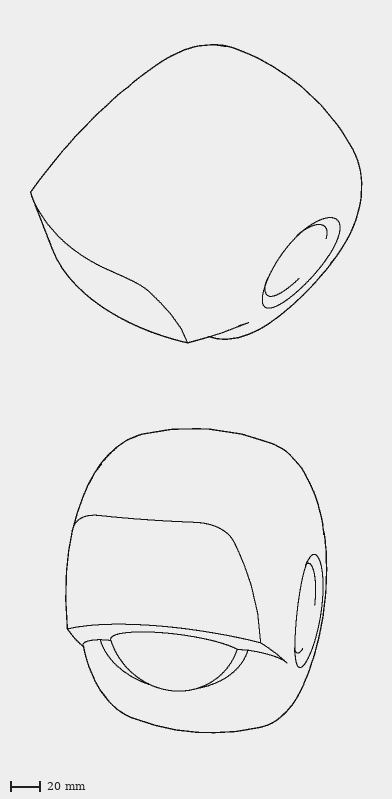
import cadquery as cq
import math

HALF_WIDTH = 76.2

CHIN_CENTER = (-0.2, -3.2)
ARC_RADII = (86.3, 126.0, 91.7, 218.5)
ARC_BREAKS = (-13.4, 50.3, 80.6)
PROFILE_FRONT = -165.0
CROWN_RADIUS = 155.0
CROWN_REACH = 80.0

BROW_POINT = (-52.6, -23.5)
BROW_SLOPE = -0.5

DOME_CREST = (-19.0, 18.0)
DOME_RADIUS_LENGTHWISE = 515.0
DOME_RADIUS_UPRIGHT = 277.0
DOME_HALF_HEIGHT = 160.0
EDGE_FILLET = 31.0

VISOR_TOP = (-149.6, 95.5)
VISOR_BOTTOM = (-130.6, 15.3)
VISOR_RADIUS = 108.5

MOUTH_WALL_Y = -76.8
NOSE_CENTER = (0, -60.7, 3.6)
NOSE_RADIUS = 50.2

DIAL_DEPTH = 3.5
DIAL_FLOOR_RADII = (30.4, 33.5)
DIAL_RIM_RADII = (38.4, 43.3)
DIAL_RIM_OFFSET = (2.6, -3.6)
DIAL_WALL_DROP = 2.6

CUTTER_SIZE = 400.0
EDGE_TOLERANCE = 1.0


def polar(center, radius, angle):
    """Point at the given radius and angle (degrees) about a centre."""
    turn = math.radians(angle)
    return (center[0] + radius * math.cos(turn), center[1] + radius * math.sin(turn))


def arc_centers():
    """Centres of the profile arcs, each following the last one tangentially."""
    centers = [CHIN_CENTER]
    for radius, next_radius, angle in zip(ARC_RADII, ARC_RADII[1:], ARC_BREAKS):
        centers.append(polar(centers[-1], radius - next_radius, angle))
    return centers


def brow_height(y):
    """Height of the brow plane at the given Y."""
    return BROW_POINT[1] + BROW_SLOPE * (y - BROW_POINT[0])


def chin_end_angle(radius):
    """Angle at which the chin arc of the given radius meets the brow plane."""
    normal_length = math.hypot(1, BROW_SLOPE)
    offset = (brow_height(CHIN_CENTER[0]) - CHIN_CENTER[1]) / normal_length
    normal_angle = math.degrees(math.atan2(1, -BROW_SLOPE))
    return normal_angle - 360 + math.degrees(math.acos(offset / radius))


def crown_end_angle(center, radius):
    """Angle at which the crown arc reaches the front of the untrimmed profile."""
    return math.degrees(math.acos((PROFILE_FRONT - center[0]) / radius))


def shell_profile(x):
    """Profile wire at one X, drawn in by the tread's crown."""
    inset = CROWN_RADIUS - math.sqrt(CROWN_RADIUS**2 - x**2)
    centers = arc_centers()
    radii = [radius - inset for radius in ARC_RADII]
    first = chin_end_angle(radii[0])
    last = crown_end_angle(centers[-1], radii[-1])
    angles = [first, *ARC_BREAKS, last]
    profile = cq.Workplane("YZ", origin=(x, 0, 0)).moveTo(*polar(centers[0], radii[0], first))
    for center, radius, start, end in zip(centers, radii, angles, angles[1:]):
        middle = polar(center, radius, (start + end) / 2)
        profile = profile.threePointArc(middle, polar(center, radius, end))
    profile = profile.lineTo(PROFILE_FRONT, brow_height(PROFILE_FRONT)).close()
    return profile.val()


def flank_barrel(side, inset=0.0):
    """Doubly curved solid whose outer face is the dome of one flank (side is +1 or -1)."""
    radius = DOME_RADIUS_LENGTHWISE - inset
    upright = DOME_RADIUS_UPRIGHT - inset
    end_radius = radius - upright + math.sqrt(upright**2 - DOME_HALF_HEIGHT**2)
    axis_x = side * (HALF_WIDTH - DOME_RADIUS_LENGTHWISE)
    far_x = axis_x - side * radius
    far_end_x = axis_x - side * end_radius
    top = DOME_CREST[1] + DOME_HALF_HEIGHT
    bottom = DOME_CREST[1] - DOME_HALF_HEIGHT
    return (
        cq.Workplane("XZ", origin=(0, DOME_CREST[0], 0))
        .moveTo(axis_x, bottom)
        .lineTo(far_end_x, bottom)
        .threePointArc((far_x, DOME_CREST[1]), (far_end_x, top))
        .lineTo(axis_x, top)
        .close()
        .revolve(360, (axis_x, 0), (axis_x, 1))
    )


def mouth_cutter():
    """Everything in front of the mouth wall and below the brow plane."""
    front = MOUTH_WALL_Y - CUTTER_SIZE
    return (
        cq.Workplane("YZ", origin=(-CUTTER_SIZE / 2, 0, 0))
        .moveTo(MOUTH_WALL_Y, brow_height(MOUTH_WALL_Y))
        .lineTo(MOUTH_WALL_Y, -CUTTER_SIZE)
        .lineTo(front, -CUTTER_SIZE)
        .lineTo(front, brow_height(front))
        .close()
        .extrude(CUTTER_SIZE)
    )


def is_tread_edge(edge):
    """True for edges off the brow plane and off the untrimmed front."""
    middle = edge.positionAt(0.5)
    on_brow = abs(middle.z - brow_height(middle.y)) < EDGE_TOLERANCE
    on_front = abs(middle.y - PROFILE_FRONT) < EDGE_TOLERANCE
    return not (on_brow or on_front)


def make_shell():
    """Crowned tread trimmed by the flank domes and the mouth, with rounded tread edges."""
    stations = [CROWN_REACH * step / 2 for step in range(-2, 3)]
    shell = cq.Workplane(cq.Solid.makeLoft([shell_profile(x) for x in stations]))
    for side in (-1, 1):
        shell = shell.intersect(flank_barrel(side))
    shell = shell.cut(mouth_cutter())
    domes = [face for face in shell.faces().vals() if face.geomType() == "REVOLUTION"]
    edges = [edge for dome in domes for edge in dome.Edges() if is_tread_edge(edge)]
    return cq.Workplane(shell.val().fillet(EDGE_FILLET, edges))


def visor_cutter():
    """Everything in front of the visor's cylinder, whose axis leans with the visor."""
    axis = cq.Vector(0, VISOR_TOP[0] - VISOR_BOTTOM[0], VISOR_TOP[1] - VISOR_BOTTOM[1]).normalized()
    inward = cq.Vector(1, 0, 0).cross(axis) * -1
    middle = cq.Vector(0, VISOR_BOTTOM[0], VISOR_BOTTOM[1])
    base = middle + inward * VISOR_RADIUS - axis * (CUTTER_SIZE / 2)
    plane = cq.Plane(origin=base.toTuple(), xDir=(1, 0, 0), normal=axis.toTuple())
    front = -1 if plane.yDir.y > 0 else 1
    block = (
        cq.Workplane(plane)
        .center(0, front * CUTTER_SIZE / 2)
        .rect(CUTTER_SIZE, CUTTER_SIZE)
        .extrude(CUTTER_SIZE)
    )
    return block.cut(cq.Workplane(plane).circle(VISOR_RADIUS).extrude(CUTTER_SIZE))


def make_nose():
    """Ball set into the corner between the mouth wall and the brow plane."""
    return cq.Workplane("XY", origin=NOSE_CENTER).sphere(NOSE_RADIUS)


def dial_cutter(side):
    """Slanted elliptical cone that stops on a dome parallel to the flank."""
    slope_y = -DOME_CREST[0] / DOME_RADIUS_LENGTHWISE
    slope_z = -DOME_CREST[1] / DOME_RADIUS_UPRIGHT
    sag_y = DOME_CREST[0] ** 2 / (2 * DOME_RADIUS_LENGTHWISE)
    sag_z = DOME_CREST[1] ** 2 / (2 * DOME_RADIUS_UPRIGHT)
    normal = cq.Vector(side, slope_y, slope_z).normalized()
    surface = cq.Vector(side * (HALF_WIDTH - sag_y - sag_z), 0, 0)
    floor_sag = DIAL_FLOOR_RADII[1] ** 2 / (2 * DOME_RADIUS_UPRIGHT)
    floor = surface - normal * (DIAL_DEPTH + floor_sag / 2)

    def outline(step):
        """Ellipse on the cone; step 0 is at the floor and step 1 at the rim."""
        radii = [f + step * (r - f) for f, r in zip(DIAL_FLOOR_RADII, DIAL_RIM_RADII)]
        center = floor + normal * (step * DIAL_WALL_DROP)
        center = center + cq.Vector(0, *DIAL_RIM_OFFSET) * step
        return cq.Wire.makeEllipse(*reversed(radii), center, normal, cq.Vector(0, 0, 1))

    cone = cq.Workplane(cq.Solid.makeLoft([outline(-1), outline(2.5)], True))
    return cone.cut(flank_barrel(side, DIAL_DEPTH))


result = make_shell().cut(visor_cutter()).union(make_nose())
for side in (-1, 1):
    result = result.cut(dial_cutter(side))